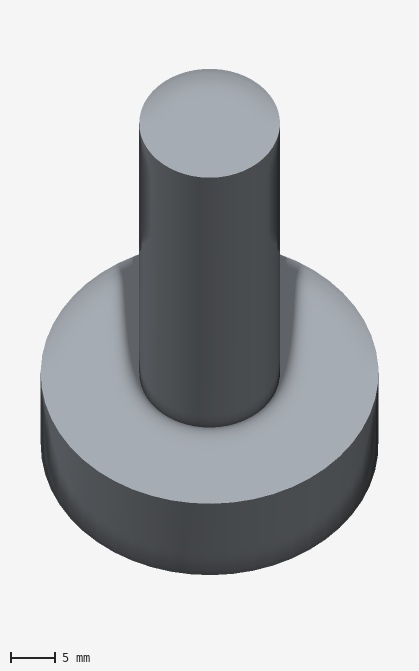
import cadquery as cq

head_diameter = 38.1
head_height = 12.7
shank_diameter = 15.875
overall_height = 57.15

shank_length = overall_height - head_height


def upright_cylinder(diameter, height, base_z):
    """Solid cylinder on the Z axis, with its lower face at base_z."""
    return cq.Workplane("XY").workplane(offset=base_z).circle(diameter / 2).extrude(height)


head = upright_cylinder(head_diameter, head_height, 0)
shank = upright_cylinder(shank_diameter, shank_length, head_height)

result = head.union(shank)